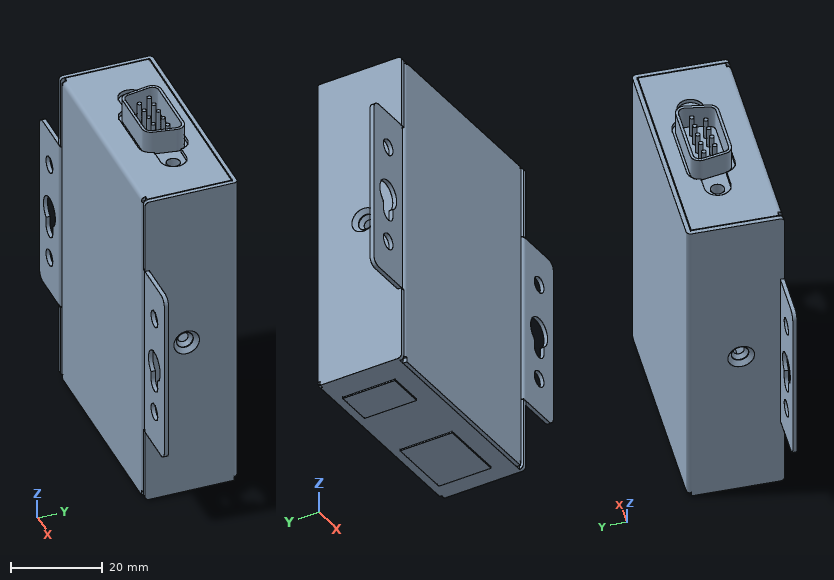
import cadquery as cq
import math


case_width = 51.8
case_depth = 22.0
case_height = 79.7
sheet = 1.0
fit_gap = 0.2
cover_bend = 1.0
base_bend = 1.0
lip_radius = 1.0

ear_span = 75.0
ear_height = 43.0
ear_corner = 2.0
ear_bend = 1.0
ear_hole_inset = 6.0
ear_hole_spacing = 24.9
ear_hole_diameter = 3.9
keyhole_diameter = 7.0
keyhole_slot_width = 3.9
keyhole_slot_drop = 4.8

screw_y = 9.8
screw_head_diameter = 6.0
screw_neck_diameter = 3.9
screw_hole_diameter = 2.4

serial_y = 11.9
shell_height = 9.5
shell_front_width = 15.1
shell_slope = 10.0
shell_corner = 2.1
shell_wall = 0.65
shell_rise = 4.85
shell_clearance = 0.8
flange_width = 33.0
flange_depth = 13.0
flange_thickness = 3.0
flange_hole_spacing = 25.0
flange_hole_diameter = 3.1
flange_window_width = 6.0
pin_pitch = 2.77
pin_row_spacing = 2.84
pin_diameter = 1.0
pin_drop = 0.6
pin_rows = [(5, 0.5), (4, -0.5)]

port_reveal = 0.35
port_y = 12.5
port_size_y = 13.4
port_length = 13.0
power_jack_x = -14.8
power_jack_width = 9.1
network_socket_x = 12.7
network_socket_width = 16.2

side_x = case_width / 2
base_width = case_width - 2 * (sheet + fit_gap)
base_depth = case_depth - sheet - fit_gap
bottom_width = case_width - 2 * cover_bend
middle_z = case_height / 2


def block(x_size, y_range, z_range):
    """Box centred on X = 0 between two Y and two Z values."""
    (y0, y1), (z0, z1) = y_range, z_range
    solid = cq.Workplane("XY").box(x_size, y1 - y0, z1 - z0, (True, False, False))
    return solid.translate((0, y0, z0))


def mirrored(body):
    """The body together with its mirror image across X = 0."""
    return body.union(body.mirror("YZ"))


def ear():
    """Mounting ear on the +X side, with two round holes and a keyhole."""
    inner_x = side_x - sheet
    outer_x = ear_span / 2
    hole_x = outer_x - ear_hole_inset
    plate = (
        cq.Workplane("XY")
        .box(outer_x - inner_x, sheet, ear_height, (False, False, True))
        .translate((inner_x, 0, middle_z))
    )
    plate = plate.edges("|Y and >X").fillet(ear_corner)
    front = cq.Workplane("XZ", origin=(hole_x, 0, middle_z))
    half_spacing = ear_hole_spacing / 2
    holes = (
        front.pushPoints([(0, half_spacing), (0, -half_spacing)])
        .circle(ear_hole_diameter / 2)
        .extrude(-sheet)
    )
    key_head = front.circle(keyhole_diameter / 2).extrude(-sheet)
    key_slot = (
        front.center(0, -keyhole_slot_drop / 2)
        .slot2D(keyhole_slot_drop + keyhole_slot_width, keyhole_slot_width, 90)
        .extrude(-sheet)
    )
    return plate.cut(holes).cut(key_head).cut(key_slot)


def ear_bend_waste():
    """Corner removed to round the bend between the cover's +X side and its ear."""
    inner_x = side_x - sheet
    corner = (
        cq.Workplane("XY")
        .box(ear_bend, ear_bend, ear_height, (False, False, True))
        .translate((inner_x, 0, middle_z))
    )
    bend = (
        cq.Workplane("XY", origin=(inner_x + ear_bend, ear_bend, middle_z - ear_height / 2))
        .circle(ear_bend)
        .extrude(ear_height)
    )
    return corner.cut(bend)


def side_cone(outer_x, thickness, outer_diameter, inner_diameter):
    """Cone for a countersink running from x = outer_x inwards."""
    return cq.Workplane("XY").add(
        cq.Solid.makeCone(
            outer_diameter / 2,
            inner_diameter / 2,
            thickness,
            cq.Vector(outer_x, screw_y, middle_z),
            cq.Vector(-1, 0, 0),
        )
    )


def port(x_center, width):
    """Plain rectangular port standing slightly out of the bottom."""
    y_range = (port_y - port_size_y / 2, port_y + port_size_y / 2)
    z_range = (-port_reveal, port_length - port_reveal)
    return block(width, y_range, z_range).translate((x_center, 0, 0))


def make_cover(ports):
    """Back, two sides and bottom of the case, with the mounting ears."""
    shell = block(case_width, (0, case_depth), (0, case_height)).edges("|Z and >Y").fillet(cover_bend)
    shell = shell.edges("|X and <Y").fillet(lip_radius)
    shell = shell.cut(block(case_width - 2 * sheet, (0, case_depth - sheet), (0, case_height)))
    shell = shell.cut(block(case_width, (case_depth - cover_bend, case_depth), (0, cover_bend)))
    corner_top = 2 * cover_bend
    bottom = block(bottom_width, (sheet, case_depth), (0, corner_top))
    bottom = bottom.edges("|X and >Y and <Z").fillet(cover_bend)
    bottom = bottom.cut(block(bottom_width, (sheet, case_depth - sheet), (sheet, corner_top)))
    cover = shell.union(bottom)
    countersink = side_cone(side_x, sheet, screw_head_diameter, screw_neck_diameter)
    cover = cover.union(mirrored(ear())).cut(mirrored(ear_bend_waste()))
    cover = cover.cut(mirrored(countersink))
    for body in ports:
        cover = cover.cut(body)
    return cover


def shell_outline():
    """Rounded D outline of the serial connector shell, as a wire on Z = 0."""
    front_half = shell_front_width / 2
    back_half = front_half + shell_height * math.tan(math.radians(shell_slope))
    half = shell_height / 2
    corners = [(-front_half, -half), (front_half, -half), (back_half, half), (-back_half, half)]
    sharp = cq.Workplane("XY").polyline(corners).close().wire().val()
    return sharp.fillet2D(shell_corner, sharp.Vertices())


def d_prism(offset, z0, z1):
    """Upright prism of the D outline, grown by the offset."""
    sketch = cq.Workplane("XY").add(shell_outline()).toPending()
    if offset:
        sketch = sketch.offset2D(offset)
    return sketch.extrude(z1 - z0).translate((0, serial_y, z0))


def make_base():
    """Front and top of the case with two side flanges inside the cover."""
    top_z = case_height - base_bend
    flange_z = (sheet + fit_gap, top_z)
    channel = block(base_width, (0, base_depth), flange_z).edges("|Z and <Y").fillet(base_bend)
    channel = channel.cut(block(base_width - 2 * sheet, (sheet, base_depth), flange_z))
    front_width = base_width - 2 * base_bend
    front = block(front_width, (0, base_depth), (0, case_height)).edges("|X and <Y and >Z").fillet(base_bend)
    front = front.cut(block(front_width, (sheet, base_depth), (0, case_height - sheet)))
    top = block(base_width, (base_bend, base_depth), (case_height - sheet, case_height))
    opening = d_prism(shell_clearance, case_height - sheet, case_height)
    window = (
        cq.Workplane("XY", origin=(0, serial_y, case_height - sheet))
        .slot2D(flange_hole_spacing + flange_window_width, flange_window_width)
        .extrude(sheet)
    )
    flange_x = base_width / 2
    screw_hole = side_cone(flange_x, sheet, screw_neck_diameter, screw_hole_diameter)
    return channel.union(front).union(top).cut(opening).cut(window).cut(mirrored(screw_hole))


def make_serial_connector():
    """Flange under the top plate, D shell and nine pins."""
    flange_top = case_height - sheet
    rim_z = case_height + shell_rise
    flange = block(
        flange_width,
        (serial_y - flange_depth / 2, serial_y + flange_depth / 2),
        (flange_top - flange_thickness, flange_top),
    )
    flange_holes = (
        cq.Workplane("XY", origin=(0, serial_y, flange_top - flange_thickness))
        .pushPoints([(-flange_hole_spacing / 2, 0), (flange_hole_spacing / 2, 0)])
        .circle(flange_hole_diameter / 2)
        .extrude(flange_thickness)
    )
    shell = d_prism(0, flange_top, rim_z).cut(d_prism(-shell_wall, flange_top, rim_z))
    connector = flange.cut(flange_holes).union(shell)
    for count, row in pin_rows:
        row_y = serial_y + row * pin_row_spacing
        pins = (
            cq.Workplane("XY", origin=(0, row_y, flange_top))
            .rarray(pin_pitch, 1, count, 1)
            .circle(pin_diameter / 2)
            .extrude(rim_z - pin_drop - flange_top)
        )
        connector = connector.union(pins)
    return connector


power_jack = port(power_jack_x, power_jack_width)
network_socket = port(network_socket_x, network_socket_width)
cover = make_cover([power_jack, network_socket])
base = make_base()
serial_connector = make_serial_connector()

result = cq.Compound.makeCompound(
    [cover.val(), base.val(), serial_connector.val(), power_jack.val(), network_socket.val()]
)